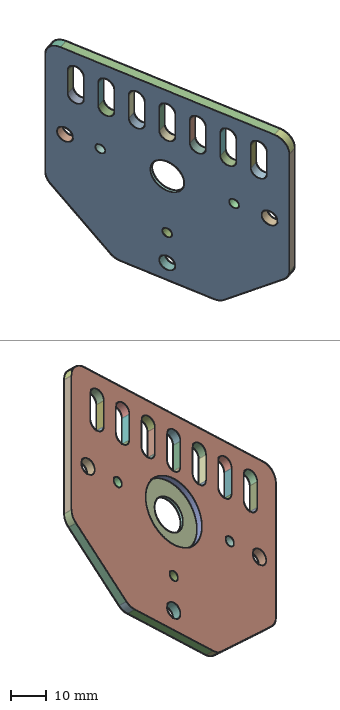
import cadquery as cq

width = 80.0
height = 72.0
thickness = 3.0
back_origin = (0, thickness / 2, 0)
top_z = 32.5
bottom_z = top_z - height
taper_height = 20.0
bottom_width = 34.4
corner_radius = 5.0

slot_count = 7
slot_pitch = 10.0
slot_length = 13.8
slot_width = 5.2
slot_z = 20.5

bore_diameter = 11.0
recess_diameter = 22.0
lip_thickness = 1.0
large_hole_diameter = 5.2
large_hole_side_x = 33.5
large_hole_bottom_z = -33.0
small_hole_diameter = 3.2
small_hole_side_x = 21.9
small_hole_bottom_z = -21.4


def make_plate():
    """Plate with a tapered lower end and all six corners rounded."""
    side_x = width / 2
    bottom_x = bottom_width / 2
    taper_z = bottom_z + taper_height
    outline = [
        (-side_x, top_z),
        (side_x, top_z),
        (side_x, taper_z),
        (bottom_x, bottom_z),
        (-bottom_x, bottom_z),
        (-side_x, taper_z),
    ]
    plate = cq.Workplane("XZ", origin=back_origin).polyline(outline).close().extrude(thickness)
    return plate.edges("|Y").fillet(corner_radius)


def hole_cutters(points, diameter, depth=thickness):
    """Cylinders reaching forward from the back face at the given (x, z) points."""
    back_face = cq.Workplane("XZ", origin=back_origin)
    return back_face.pushPoints(points).circle(diameter / 2).extrude(depth)


def slot_cutters():
    """Evenly spaced vertical slots, centred on the plate."""
    return (
        cq.Workplane("XZ", origin=back_origin)
        .center(0, slot_z)
        .rarray(slot_pitch, 0.8, slot_count, 1)
        .slot2D(slot_length, slot_width, 90)
        .extrude(thickness)
    )


def three_hole_points(side_x, lower_z):
    """One hole on each side of the bore and one below it."""
    return [(-side_x, 0), (side_x, 0), (0, lower_z)]


large_holes = three_hole_points(large_hole_side_x, large_hole_bottom_z)
small_holes = three_hole_points(small_hole_side_x, small_hole_bottom_z)

result = make_plate()
result = result.cut(slot_cutters())
result = result.cut(hole_cutters([(0, 0)], bore_diameter))
result = result.cut(hole_cutters([(0, 0)], recess_diameter, thickness - lip_thickness))
result = result.cut(hole_cutters(large_holes, large_hole_diameter))
result = result.cut(hole_cutters(small_holes, small_hole_diameter))